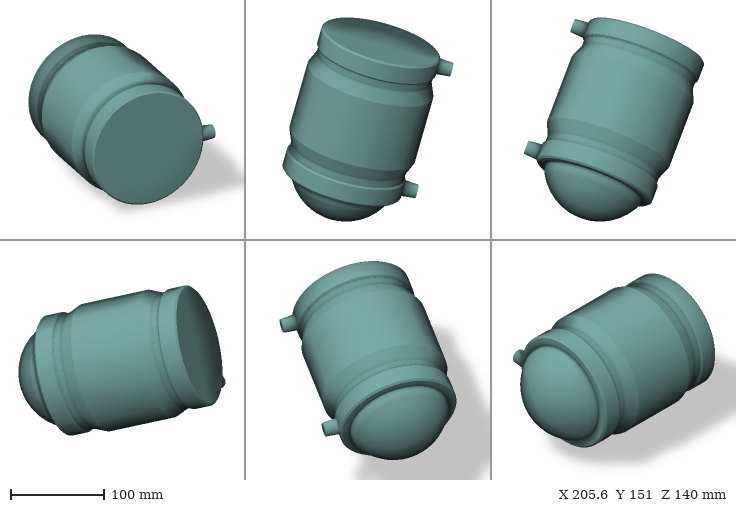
import cadquery as cq
import math

barrel_length = 165.0
body_radius = 140.0 / 2
groove_radius = 127.65 / 2
flange_radius = 132.0 / 2
flange_width = 22.0
flange_middle = flange_width / 2
flange_chamfer = 2.0
groove_width = 8.0
cone_length = 15.0

total_length = 205.59
dome_height = total_length - barrel_length
dome_base_radius = 110.0 / 2
crown_edge_radius = 104.5 / 2

knuckle_length = 10.3
knuckle_drop = dome_base_radius - crown_edge_radius
knuckle_radius = (knuckle_length**2 + knuckle_drop**2) / (2 * knuckle_drop)

overall_width = 151.0
nozzle_tip_y = overall_width - body_radius
nozzle_root_y = 60.0
nozzle_tip_radius = 15.0 / 2
nozzle_half_angle = math.radians(5.0)


def revolve_about_x(profile):
    return profile.close().revolve(360, (0, 0, 0), (1, 0, 0))


def make_flange(x_start):
    disc = cq.Workplane("YZ", origin=(x_start, 0, 0)).circle(flange_radius).extrude(flange_width)
    return disc.edges().chamfer(flange_chamfer)


def make_body():
    """Grooves, cones and main cylinder, running to the middle of each flange."""
    cone_start = flange_width + groove_width
    cone_end = cone_start + cone_length
    profile = (
        cq.Workplane("XY")
        .moveTo(flange_middle, 0)
        .lineTo(flange_middle, groove_radius)
        .lineTo(cone_start, groove_radius)
        .lineTo(cone_end, body_radius)
        .lineTo(barrel_length - cone_end, body_radius)
        .lineTo(barrel_length - cone_start, groove_radius)
        .lineTo(barrel_length - flange_middle, groove_radius)
        .lineTo(barrel_length - flange_middle, 0)
    )
    return revolve_about_x(profile)


def make_dome():
    knuckle_mid_angle = math.asin(knuckle_length / knuckle_radius) / 2
    knuckle_mid = (
        -knuckle_radius * math.sin(knuckle_mid_angle),
        dome_base_radius - knuckle_radius * (1 - math.cos(knuckle_mid_angle)),
    )
    crown_height = dome_height - knuckle_length
    crown_radius = (crown_edge_radius**2 + crown_height**2) / (2 * crown_height)
    crown_mid_angle = math.asin(crown_edge_radius / crown_radius) / 2
    crown_mid = (
        crown_radius - dome_height - crown_radius * math.cos(crown_mid_angle),
        crown_radius * math.sin(crown_mid_angle),
    )
    profile = (
        cq.Workplane("XY")
        .lineTo(0, dome_base_radius)
        .threePointArc(knuckle_mid, (-knuckle_length, crown_edge_radius))
        .threePointArc(crown_mid, (-dome_height, 0))
    )
    return revolve_about_x(profile)


def make_nozzle(x_centre):
    length = nozzle_tip_y - nozzle_root_y
    root_radius = nozzle_tip_radius + length * math.tan(nozzle_half_angle)
    root = cq.Vector(x_centre, nozzle_root_y, 0)
    return cq.Solid.makeCone(root_radius, nozzle_tip_radius, length, root, cq.Vector(0, 1, 0))


result = make_body().union(make_dome())
for flange_start in (0, barrel_length - flange_width):
    result = result.union(make_flange(flange_start))
    result = result.union(cq.Workplane(make_nozzle(flange_start + flange_middle)))